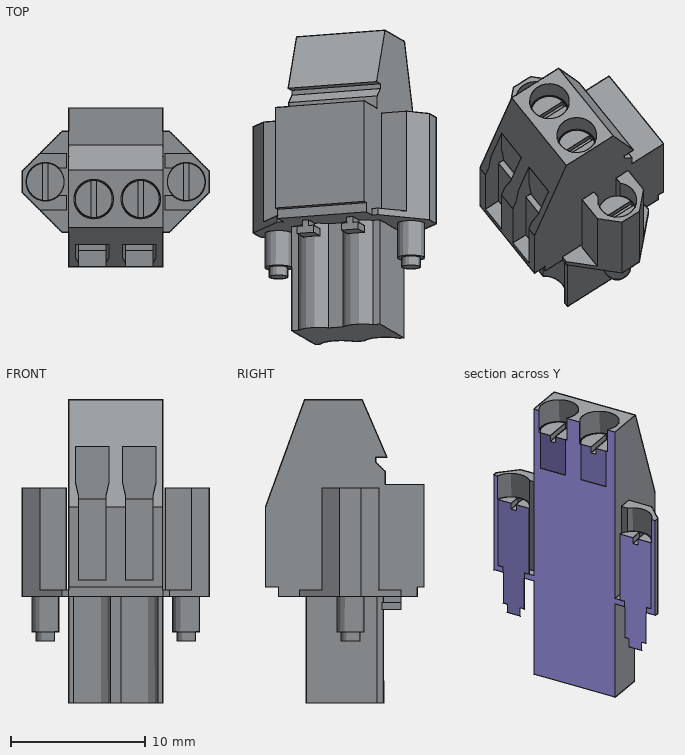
import cadquery as cq
import math


POLES = 2
PITCH = 3.5
BODY_WIDTH = POLES * PITCH
HEIGHT = 22.6
BASE_Z = 7.93
STEP_Z = 8.63
FRONT_Y = -6.33
BACK_Y = 5.5
FRONT_STEP = 0.97
BACK_STEP = 0.5
SHELF_Z = 16.3
SLOPE_FOOT_Z = 14.6
TOP_FRONT_Y = -3.41
TOP_BACK_Y = 0.88

TOWER_BACK_Y = 2.6
LATCH_TIP_Y = 2.73
NOTCH_Y = 1.9
NOTCH_TOP_Z = 18.3
NOTCH_RAMP_TOP_Z = 17.95
NOTCH_RAMP_DEPTH = TOWER_BACK_Y - NOTCH_Y

ENTRY_TOP_WIDTH = 2.5
ENTRY_WIDTH = 2.05
ENTRY_TOP_Z = 19.12
ENTRY_TAPER_TOP_Z = 16.45
ENTRY_TAPER_BOTTOM_Z = 15.45
ENTRY_LEDGE_Z = 15.19
ENTRY_BOTTOM_Z = 9.18
ENTRY_BACK_Y = -4.68
ENTRY_LOWER_BACK_Y = -5.13

PLUG_FRONT_Y = -3.3
PLUG_BACK_Y = 1.97
LOBE_DEPTH = 0.52
SCOOP_CHORD = 2.75
SCOOP_RADIUS = 1.63
LOBE_RADIUS = SCOOP_RADIUS

KEY_BACK_Y = 3.77
KEY_BOTTOM_Z = 6.95
KEY_STEP_Z = 7.5
KEY_WIDTH = 1.3
KEY_NECK_WIDTH = 0.5

FLANGE_LENGTH = 13.95
FLANGE_HALF_LENGTH = FLANGE_LENGTH / 2
FLANGE_END_WIDTH = 1.58
FLANGE_WIDTH = 7.55
FLANGE_THICKNESS = 0.5
FLANGE_TOP_Z = BASE_Z + FLANGE_THICKNESS
COLUMN_TOP_Z = 16.02
COLUMN_WIDTH = 4.23
COLUMN_GAP = 0.18
COLUMN_SLOT_WIDTH = 2.01

DRIVE_WIDTH = 0.4
DRIVE_DEPTH = 0.5
CLAMP_HEAD_DIAMETER = 2.75
CLAMP_BORE_DIAMETER = 2.94
CLAMP_HEAD_SINK = 1.85
CLAMP_SCREW_LENGTH = 3.0
CLAMP_SHIFT_X = 0.11
CLAMP_Y = -1.29
FLANGE_HEAD_DIAMETER = 2.8
FLANGE_BORE_DIAMETER = 2.87
FLANGE_HEAD_SINK = 2.0
FLANGE_SCREW_X = 5.25
THREAD_DIAMETER = 2.01
THREAD_BOTTOM_Z = 5.3
TIP_DIAMETER = 1.4
TIP_BOTTOM_Z = 4.6

CLAMP_HEAD_Z = HEIGHT - CLAMP_HEAD_SINK
FLANGE_HEAD_Z = COLUMN_TOP_Z - FLANGE_HEAD_SINK
POLE_XS = [(i - (POLES - 1) / 2) * PITCH for i in range(POLES)]
CLAMP_SCREW_XS = [x + CLAMP_SHIFT_X for x in POLE_XS]
SIDES = (-1, 1)


def box(x0, x1, y0, y1, z0, z1):
    return cq.Workplane("XY").box(x1 - x0, y1 - y0, z1 - z0, centered=False).translate((x0, y0, z0))


def cylinder(x, y, diameter, z0, z1):
    return cq.Workplane("XY", origin=(x, y, z0)).circle(diameter / 2).extrude(z1 - z0)


def block():
    """Body and tower: one side profile across the whole width."""
    profile = [
        (FRONT_Y + FRONT_STEP, BASE_Z),
        (FRONT_Y + FRONT_STEP, STEP_Z),
        (FRONT_Y, STEP_Z),
        (FRONT_Y, SLOPE_FOOT_Z),
        (TOP_FRONT_Y, HEIGHT),
        (TOP_BACK_Y, HEIGHT),
        (LATCH_TIP_Y, NOTCH_TOP_Z),
        (NOTCH_Y, NOTCH_TOP_Z),
        (NOTCH_Y, NOTCH_RAMP_TOP_Z),
        (TOWER_BACK_Y, NOTCH_RAMP_TOP_Z - NOTCH_RAMP_DEPTH),
        (TOWER_BACK_Y, SHELF_Z),
        (BACK_Y, SHELF_Z),
        (BACK_Y, STEP_Z),
        (BACK_Y - BACK_STEP, STEP_Z),
        (BACK_Y - BACK_STEP, BASE_Z),
    ]
    return cq.Workplane("YZ").polyline(profile).close().extrude(BODY_WIDTH / 2, both=True)


def wire_entry(x):
    """Pocket that funnels down into a narrower, shallower channel."""
    top, low = ENTRY_TOP_WIDTH / 2, ENTRY_WIDTH / 2
    funnel = (
        cq.Workplane("XZ", origin=(x, FRONT_Y, 0))
        .moveTo(-low, ENTRY_LEDGE_Z)
        .lineTo(-low, ENTRY_TAPER_BOTTOM_Z)
        .lineTo(-top, ENTRY_TAPER_TOP_Z)
        .lineTo(-top, ENTRY_TOP_Z)
        .lineTo(top, ENTRY_TOP_Z)
        .lineTo(top, ENTRY_TAPER_TOP_Z)
        .lineTo(low, ENTRY_TAPER_BOTTOM_Z)
        .lineTo(low, ENTRY_LEDGE_Z)
        .close()
        .extrude(FRONT_Y - ENTRY_BACK_Y)
    )
    channel = box(x - low, x + low, FRONT_Y, ENTRY_LOWER_BACK_Y, ENTRY_BOTTOM_Z, ENTRY_LEDGE_Z)
    return funnel.union(channel)


def plug():
    """Prism with a round scoop in front of each pole and a round lobe behind it."""
    half = BODY_WIDTH / 2
    scoop_half = SCOOP_CHORD / 2
    scoop_depth = SCOOP_RADIUS - math.sqrt(SCOOP_RADIUS**2 - scoop_half**2)
    lobe_half = math.sqrt(LOBE_RADIUS**2 - (LOBE_RADIUS - LOBE_DEPTH) ** 2)
    outline = cq.Workplane("XY").moveTo(-half, PLUG_FRONT_Y)
    for x in POLE_XS:
        outline = outline.lineTo(x - scoop_half, PLUG_FRONT_Y).threePointArc(
            (x, PLUG_FRONT_Y + scoop_depth), (x + scoop_half, PLUG_FRONT_Y)
        )
    outline = outline.lineTo(half, PLUG_FRONT_Y).lineTo(half, PLUG_BACK_Y)
    for x in reversed(POLE_XS):
        outline = outline.lineTo(x + lobe_half, PLUG_BACK_Y).threePointArc(
            (x, PLUG_BACK_Y + LOBE_DEPTH), (x - lobe_half, PLUG_BACK_Y)
        )
    return outline.lineTo(-half, PLUG_BACK_Y).close().extrude(BASE_Z)


def coding_key(x):
    foot, neck = KEY_WIDTH / 2, KEY_NECK_WIDTH / 2
    key = box(x - foot, x + foot, PLUG_BACK_Y, KEY_BACK_Y, KEY_BOTTOM_Z, KEY_STEP_Z)
    return key.union(box(x - neck, x + neck, PLUG_BACK_Y, KEY_BACK_Y, KEY_STEP_Z, BASE_Z))


def flange_outline():
    """Stretched octagon with 45 degree corners, solid between both flange ends."""
    end, half = FLANGE_END_WIDTH / 2, FLANGE_WIDTH / 2
    shoulder = FLANGE_HALF_LENGTH - (half - end)
    quarter = [(FLANGE_HALF_LENGTH, end), (shoulder, half)]
    corners = quarter + [(-x, y) for x, y in reversed(quarter)]
    corners += [(-x, -y) for x, y in corners]
    return cq.Workplane("XY", origin=(0, 0, BASE_Z)).polyline(corners).close()


def columns():
    """Screw columns: the flange outline trimmed to the column width, clear of the body."""
    prism = flange_outline().extrude(COLUMN_TOP_Z - BASE_Z)
    inner = BODY_WIDTH / 2 + COLUMN_GAP
    half = COLUMN_WIDTH / 2
    strip = box(-FLANGE_HALF_LENGTH, FLANGE_HALF_LENGTH, -half, half, BASE_Z, COLUMN_TOP_Z)
    return prism.intersect(strip).cut(box(-inner, inner, -half, half, BASE_Z, COLUMN_TOP_Z))


def column_slot(side):
    """Opening from the screw bore to the inner face of the column, down to the flange plate."""
    half = COLUMN_SLOT_WIDTH / 2
    inner, outer = sorted((0, side * FLANGE_SCREW_X))
    return box(inner, outer, -half, half, FLANGE_TOP_Z, COLUMN_TOP_Z)


def driven(screw, x, y, diameter, head_z):
    """Cut the straight driver slot into a screw head."""
    half = DRIVE_WIDTH / 2
    reach = diameter / 2
    return screw.cut(box(x - half, x + half, y - reach, y + reach, head_z - DRIVE_DEPTH, head_z))


def clamp_screw_blank(x):
    return cylinder(x, CLAMP_Y, CLAMP_HEAD_DIAMETER, CLAMP_HEAD_Z - CLAMP_SCREW_LENGTH, CLAMP_HEAD_Z)


def flange_screw_blank(side):
    x = side * FLANGE_SCREW_X
    head = cylinder(x, 0, FLANGE_HEAD_DIAMETER, FLANGE_TOP_Z, FLANGE_HEAD_Z)
    thread = cylinder(x, 0, THREAD_DIAMETER, THREAD_BOTTOM_Z, FLANGE_TOP_Z)
    return head.union(thread).union(cylinder(x, 0, TIP_DIAMETER, TIP_BOTTOM_Z, THREAD_BOTTOM_Z))


def clamp_screw(x):
    return driven(clamp_screw_blank(x), x, CLAMP_Y, CLAMP_HEAD_DIAMETER, CLAMP_HEAD_Z)


def flange_screw(side):
    x = side * FLANGE_SCREW_X
    return driven(flange_screw_blank(side), x, 0, FLANGE_HEAD_DIAMETER, FLANGE_HEAD_Z)


def build_housing():
    flanges = flange_outline().extrude(FLANGE_THICKNESS).union(columns())
    for side in SIDES:
        flanges = flanges.cut(column_slot(side))
        x = side * FLANGE_SCREW_X
        flanges = flanges.cut(cylinder(x, 0, FLANGE_BORE_DIAMETER, FLANGE_HEAD_Z, COLUMN_TOP_Z))
        flanges = flanges.cut(flange_screw_blank(side))
    body = block().union(flanges).union(plug())
    for x in POLE_XS:
        body = body.cut(wire_entry(x)).union(coding_key(x))
    for x in CLAMP_SCREW_XS:
        body = body.cut(cylinder(x, CLAMP_Y, CLAMP_BORE_DIAMETER, CLAMP_HEAD_Z, HEIGHT))
        body = body.cut(clamp_screw_blank(x))
    return body


housing = build_housing()
clamp_screws = [clamp_screw(x).val() for x in CLAMP_SCREW_XS]
flange_screws = [flange_screw(side).val() for side in SIDES]

result = cq.Compound.makeCompound([housing.val(), *clamp_screws, *flange_screws])